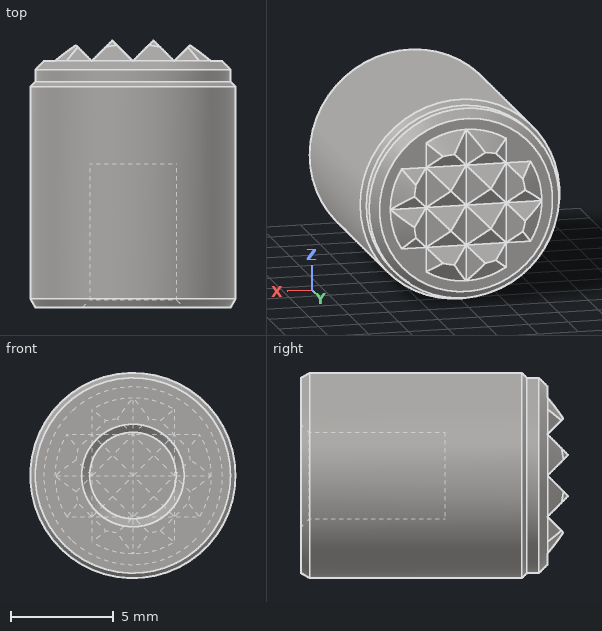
import cadquery as cq
import math

total_length = 13.0
outer_radius = 4.998
tooth_height = 1.0
pad_thickness = 1.0
body_length = total_length - tooth_height - pad_thickness

body_chamfer = 0.25
front_chamfer_length = body_chamfer / math.tan(math.radians(30))

hole_radius = 2.1
hole_mouth_radius = 2.5
hole_depth = 7.0
countersink_depth = hole_mouth_radius - hole_radius

pad_radius = outer_radius - body_chamfer
pad_chamfer = 0.42
pad_face_y = body_length + pad_thickness

tooth_pitch = 2 * tooth_height
teeth_cone_radius = 3.8
teeth_cone_height = teeth_cone_radius * math.tan(math.radians(40))
groove_height = 1.2 * teeth_cone_height
groove_length = 2.2 * teeth_cone_radius


def revolve_about_y(points):
    """Revolve a closed (radius, y) outline about the Y axis."""
    return cq.Workplane("XY").polyline(points).close().revolve(360, (0, 0, 0), (0, 1, 0))


def make_body():
    """Cylinder chamfered at both ends, with a countersunk blind hole."""
    return revolve_about_y([
        (hole_mouth_radius, 0),
        (outer_radius - body_chamfer, 0),
        (outer_radius, front_chamfer_length),
        (outer_radius, body_length - body_chamfer),
        (outer_radius - body_chamfer, body_length),
        (0, body_length),
        (0, hole_depth),
        (hole_radius, hole_depth),
        (hole_radius, countersink_depth),
    ])


def make_groove(offset):
    """V-groove along Z, with its bottom edge on the pad face at X = offset."""
    return (
        cq.Workplane("XY")
        .polyline([
            (offset, pad_face_y),
            (offset + groove_height, pad_face_y + groove_height),
            (offset - groove_height, pad_face_y + groove_height),
        ])
        .close()
        .extrude(groove_length / 2, both=True)
    )


def make_corner_clearance(x_side, z_side):
    """Block that clears one corner of the tooth grid, outside the outermost grooves."""
    center_distance = tooth_pitch + teeth_cone_radius / 2
    return cq.Workplane("XY").box(
        teeth_cone_radius, teeth_cone_height, teeth_cone_radius
    ).translate((
        x_side * center_distance,
        pad_face_y + teeth_cone_height / 2,
        z_side * center_distance,
    ))


def make_teeth():
    """Cross-shaped grid of twelve pointed teeth left between the grooves of a cone."""
    teeth = revolve_about_y([
        (0, pad_face_y),
        (teeth_cone_radius, pad_face_y),
        (0, pad_face_y + teeth_cone_height),
    ])
    for step in (-1, 0, 1):
        groove = make_groove(step * tooth_pitch)
        crossing_groove = groove.rotate((0, 0, 0), (0, 1, 0), 90)
        teeth = teeth.cut(groove).cut(crossing_groove)
    for x_side in (-1, 1):
        for z_side in (-1, 1):
            teeth = teeth.cut(make_corner_clearance(x_side, z_side))
    return teeth


def make_gripping_pad():
    """Chamfered disc seated on the rear face of the body, carrying the teeth."""
    disc = revolve_about_y([
        (0, body_length),
        (pad_radius, body_length),
        (pad_radius, pad_face_y - pad_chamfer),
        (pad_radius - pad_chamfer, pad_face_y),
        (0, pad_face_y),
    ])
    return disc.union(make_teeth())


body = make_body()
gripping_pad = make_gripping_pad()

result = cq.Compound.makeCompound([*body.vals(), *gripping_pad.solids().vals()])